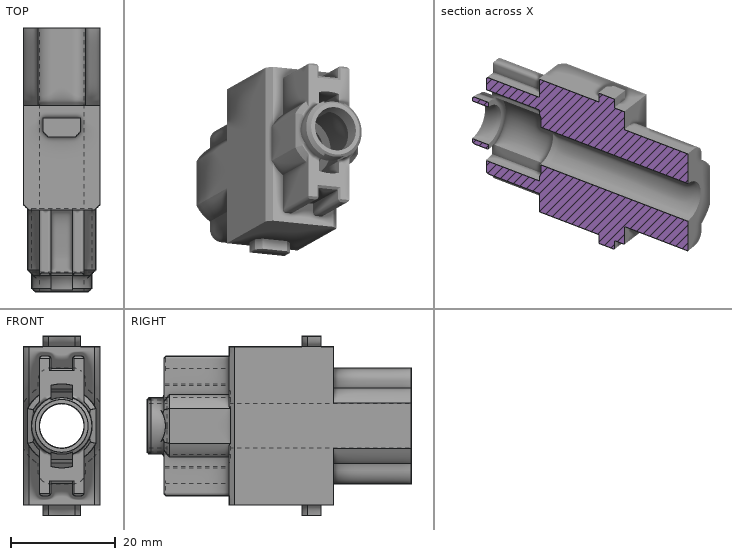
import cadquery as cq
import math


overall_length = 50.35
rear_y = overall_length / 2
tip_y = -overall_length / 2
body_back_y = rear_y - 14.8
body_front_y = body_back_y - 19.95
guide_front_y = body_front_y - 12.45

body_width = 14.65
body_height = 30.2
body_chamfer = 1.05

tab_width = 7.2
tab_length = 3.7
tab_offset = 2.35
tab_chamfer = 1.05
overall_height = 34.2

rear_core_radius = 8.5
rear_slab_width = 9.05
rear_slab_height = 22.1
rear_slab_fillet = 2.4

neck_radius = 7.3
neck_width = 13.0
ring_radius = 5.75
ring_chamfer = 0.7
relief_radius = 5.4
bore_radius = 4.25
ring_fillet = 0.5
neck_chamfer = neck_radius - ring_radius - ring_fillet

guide_width = 8.45
guide_height = 26.65
guide_fillet = 0.55
guide_chamfer = 0.45
channel_width = 4.15
channel_floor = 11.0
channel_side_chamfer = 0.3

cavity_radius = 5.8
cavity_front_y = guide_front_y + 0.6
slot_radius = 8.0
pocket_height = 14.1
pocket_bevel_height = 0.6
pocket_bevel_depth = 0.3
cavity_back_y = body_front_y + pocket_bevel_depth


def box(width, height, y_front, y_back):
    """Box centred on the bore axis between two Y stations."""
    return cq.Workplane("XY").box(width, y_back - y_front, height).translate((0, (y_front + y_back) / 2, 0))


def cylinder(radius, y_front, y_back):
    """Cylinder on the bore axis between two Y stations."""
    return cq.Workplane("XZ", origin=(0, y_back, 0)).circle(radius).extrude(y_back - y_front)


def make_body():
    body = box(body_width, body_height, body_front_y, body_back_y)
    return body.faces("<Y").edges("|Z").chamfer(body_chamfer)


def make_tabs():
    tab_back_y = body_back_y - tab_offset
    tabs = box(tab_width, overall_height, tab_back_y - tab_length, tab_back_y)
    return tabs.faces("<Y").edges("|Z").chamfer(tab_chamfer)


def make_rear_plug():
    core = cylinder(rear_core_radius, body_back_y, rear_y)
    core = core.intersect(box(body_width, body_height, body_back_y, rear_y))
    slab = box(rear_slab_width, rear_slab_height, body_back_y, rear_y)
    return core.union(slab.edges("|Y").fillet(rear_slab_fillet))


def make_neck():
    """Barrel with two flat sides, a conical front and a concave fillet leading into the ring."""
    neck_back_y = body_front_y + body_chamfer
    cone_back_y = guide_front_y + neck_chamfer
    fillet_front_y = guide_front_y - ring_fillet
    fillet_outer_radius = ring_radius + ring_fillet
    fillet_reach = ring_fillet * (1 - math.sqrt(0.5))
    barrel = (
        cq.Workplane("XY")
        .moveTo(0, neck_back_y)
        .lineTo(neck_radius, neck_back_y)
        .lineTo(neck_radius, cone_back_y)
        .lineTo(fillet_outer_radius, guide_front_y)
        .threePointArc(
            (ring_radius + fillet_reach, guide_front_y - fillet_reach),
            (ring_radius, fillet_front_y),
        )
        .lineTo(0, fillet_front_y)
        .close()
        .revolve(360, (0, 0, 0), (0, 1, 0))
    )
    flats = box(neck_width, body_height, fillet_front_y, neck_back_y)
    flats = flats.faces("<Y").edges("|Z").chamfer(cone_back_y - fillet_front_y)
    return barrel.intersect(flats)


def make_ring():
    return cylinder(ring_radius, tip_y, body_front_y).faces("<Y").chamfer(ring_chamfer)


def make_web():
    web = box(channel_width, 2 * channel_floor, guide_front_y, body_front_y)
    return web.faces("<Y").edges("|X").chamfer(guide_chamfer)


def make_guide():
    """Two upright plates joined by a solid web that stops short of their rounded ends."""
    plate_width = (guide_width - channel_width) / 2
    plate_x = (guide_width - plate_width) / 2
    guide = make_web()
    for side in (-1, 1):
        plate = box(plate_width, guide_height, guide_front_y, body_front_y)
        plate = plate.edges("|Y").fillet(guide_fillet)
        plate = plate.translate((side * plate_x, 0, 0))
        guide = guide.union(plate)
    return guide.cut(make_guide_bevels())


def make_guide_bevels():
    """Material cut from the guide's front: its plate ends and the channel's inner sides."""
    front = guide_front_y
    end_z = guide_height / 2
    mouth_x = channel_width / 2
    mouth_bottom = channel_floor - guide_chamfer
    end_bevel = (
        cq.Workplane("YZ")
        .polyline([(front, end_z), (front + guide_chamfer, end_z), (front, end_z - guide_chamfer)])
        .close()
        .extrude(guide_width / 2, both=True)
    )
    mouth_bevel = (
        cq.Workplane("XY", origin=(0, 0, mouth_bottom))
        .polyline([
            (-mouth_x - channel_side_chamfer, front),
            (mouth_x + channel_side_chamfer, front),
            (mouth_x, front + channel_side_chamfer),
            (-mouth_x, front + channel_side_chamfer),
        ])
        .close()
        .extrude(end_z - mouth_bottom)
    )
    upper = end_bevel.union(mouth_bevel.cut(make_web()))
    return upper.union(upper.mirror("XY"))


def make_front_slot():
    """Slot seen above and below the ring, outside the relief on the ring's top and bottom."""
    slot = cylinder(slot_radius, tip_y, body_front_y)
    slot = slot.intersect(box(channel_width, body_height, tip_y, body_front_y))
    return slot.cut(cylinder(relief_radius, tip_y, cavity_front_y))


def make_cavity():
    """Round chamber behind the ring, with a bevelled pocket at the back of the slot."""
    chamber = cylinder(cavity_radius, cavity_front_y, cavity_back_y)
    front_z = pocket_height / 2
    back_z = front_z - pocket_bevel_height
    pocket = (
        cq.Workplane("YZ")
        .polyline([
            (body_front_y, front_z),
            (cavity_back_y, back_z),
            (cavity_back_y, -back_z),
            (body_front_y, -front_z),
        ])
        .close()
        .extrude(channel_width / 2, both=True)
    )
    return chamber.union(pocket)


result = make_body()
for feature in (make_tabs(), make_rear_plug(), make_neck(), make_ring(), make_guide()):
    result = result.union(feature)
for cutter in (make_front_slot(), make_cavity(), cylinder(bore_radius, tip_y, rear_y)):
    result = result.cut(cutter)